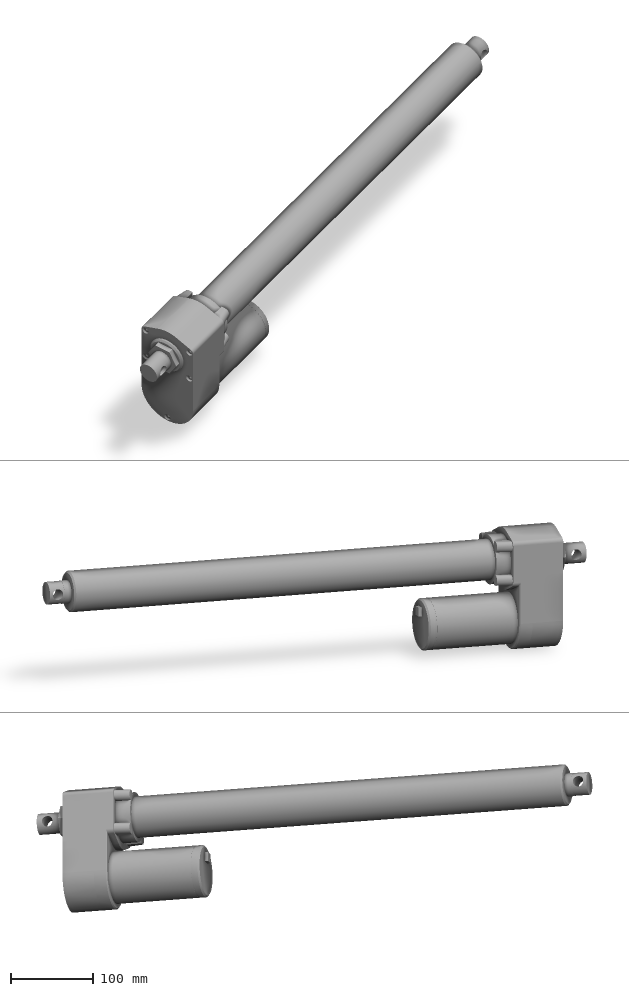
import cadquery as cq
import math

LENGTH = 693.5

pin_diameter = 26.0
pin_length = 39.5
pin_hole_y = 13.0
clevis_hole_diameter = 13.0
nut_corner_diameter = 41.5
nut_length = 6.0
flange_diameter = 48.5
flange_length = 4.0
flange_chamfer = 2.0

case_rear_y = pin_length
case_width = 77.0
case_height = 152.0
case_seam = 39.5
full_case_depth = 56.0
full_case_chamfer = 1.5
short_case_depth = 64.5
crown_radius = 39.0
crown_half_width = 14.0
shoulder_radius = 5.5
motor_drop = case_height - crown_radius - case_width / 2

screw_x = 32.5
screw_z = 22.0
bottom_screw_z = -107.5
screw_recess_diameter = 9.0
screw_recess_depth = 3.0
socket_diameter = 3.5
socket_depth = 2.0

collar_diameter = 61.0
collar_length = 19.0
rib_inner_x = 21.5
rib_base_x = 37.0
rib_front_x = 32.5
rib_z = 21.0
rib_height = 13.0
rib_fillet = 6.0

tube_diameter = 50.5
tube_chamfer = 2.0
rod_exposed = 28.0
rod_diameter = 28.5
tip_diameter = 28.0
tip_length = 19.0
tip_hole_from_end = 10.5

motor_diameter = 64.0
motor_groove_diameter = 63.0
motor_length = 114.5
motor_cap_length = 8.0
motor_groove_width = 2.0
motor_chamfer = 2.0
terminal_rise = 16.5
terminal_size = 11.0
terminal_length = 4.0

case_front_y = case_rear_y + short_case_depth
full_front_y = case_rear_y + full_case_depth
seam_y = case_rear_y + case_seam
collar_front_y = case_front_y + collar_length
tube_front_y = LENGTH - rod_exposed
motor_front_y = full_front_y + motor_length


def section_plane(y):
    """Plane across the actuator at y, with local X along -X, local Y along Z, normal along +Y."""
    return cq.Workplane(cq.Plane(origin=(0, y, 0), xDir=(-1, 0, 0), normal=(0, 1, 0)))


def cylinder(diameter, y_start, y_end, x=0.0, z=0.0):
    """Cylinder parallel to Y."""
    return section_plane(y_start).center(-x, z).circle(diameter / 2).extrude(y_end - y_start)


def cross_hole(y):
    """Clevis hole through the screw axis, parallel to X."""
    return cq.Workplane("YZ").center(y, 0).circle(clevis_hole_diameter / 2).extrude(case_width, both=True)


half_width = case_width / 2
crown_angle = math.asin(crown_half_width / crown_radius)
crown_edge_z = crown_radius * math.cos(crown_angle)
shoulder_z = crown_edge_z - (half_width - crown_half_width) * math.tan(crown_angle)


def full_case(y_start, y_end):
    """Full-height gearbox length with the crown on top and a half round about the motor axis below."""
    body = (
        section_plane(y_start)
        .moveTo(-half_width, -motor_drop)
        .lineTo(-half_width, shoulder_z)
        .lineTo(-crown_half_width, crown_edge_z)
        .threePointArc((0, crown_radius), (crown_half_width, crown_edge_z))
        .lineTo(half_width, shoulder_z)
        .lineTo(half_width, -motor_drop)
        .threePointArc((0, -motor_drop - half_width), (-half_width, -motor_drop))
        .close()
        .extrude(y_end - y_start)
    )
    shoulder_corners = body.edges("|Y").edges("<X or >X").edges(">Z")
    return shoulder_corners.fillet(shoulder_radius)


def short_case(y_start, y_end):
    """Short gearbox length around the tube, with the crown both above and below."""
    return (
        section_plane(y_start)
        .moveTo(-half_width, -shoulder_z)
        .lineTo(-half_width, shoulder_z)
        .lineTo(-crown_half_width, crown_edge_z)
        .threePointArc((0, crown_radius), (crown_half_width, crown_edge_z))
        .lineTo(half_width, shoulder_z)
        .lineTo(half_width, -shoulder_z)
        .lineTo(crown_half_width, -crown_edge_z)
        .threePointArc((0, -crown_radius), (-crown_half_width, -crown_edge_z))
        .close()
        .extrude(y_end - y_start)
        .edges("|Y")
        .edges("<X or >X")
        .fillet(shoulder_radius)
    )


def collar_rib(x_side, z_side):
    """Rib beside the tube whose rounded outer side slopes in towards the front."""
    return (
        cq.Workplane("XY", origin=(0, 0, z_side * rib_z))
        .moveTo(x_side * rib_inner_x, case_front_y)
        .lineTo(x_side * rib_base_x, case_front_y)
        .lineTo(x_side * rib_front_x, collar_front_y)
        .lineTo(x_side * rib_inner_x, collar_front_y)
        .close()
        .extrude(rib_height / 2, both=True)
        .faces(">X" if x_side > 0 else "<X")
        .edges("not |Z")
        .fillet(rib_fillet)
    )


def make_collar():
    """Round collar at the root of the tube with its four ribs."""
    collar = cylinder(collar_diameter, case_front_y, collar_front_y)
    for x_side in (-1, 1):
        for z_side in (-1, 1):
            collar = collar.union(collar_rib(x_side, z_side))
    return collar


def screw_recess(x, z):
    """Shallow round recess in the rear face with a small socket at its centre."""
    floor_y = case_rear_y + screw_recess_depth
    recess = cylinder(screw_recess_diameter, case_rear_y, floor_y, x, z)
    return recess.union(cylinder(socket_diameter, floor_y, floor_y + socket_depth, x, z))


def make_rear_mount():
    """Clevis pin, hexagon nut and round flange behind the gearbox."""
    flange_y = case_rear_y - flange_length
    nut_y = flange_y - nut_length
    nut = section_plane(nut_y).polygon(6, nut_corner_diameter).extrude(nut_length)
    pin = cylinder(pin_diameter, 0, case_rear_y).cut(cross_hole(pin_hole_y))
    flange = cylinder(flange_diameter, flange_y, case_rear_y).faces("<Y").chamfer(flange_chamfer)
    return pin.union(nut).union(flange)


def make_motor():
    """Motor can with a shallow groove, a chamfered front end and a square terminal block."""
    cap_y = motor_front_y - motor_cap_length
    groove_y = cap_y - motor_groove_width
    can = cylinder(motor_diameter, full_front_y, groove_y, z=-motor_drop)
    groove = cylinder(motor_groove_diameter, groove_y, cap_y, z=-motor_drop)
    cap = cylinder(motor_diameter, cap_y, motor_front_y, z=-motor_drop).faces(">Y").chamfer(motor_chamfer)
    terminal = (
        section_plane(motor_front_y)
        .center(0, terminal_rise - motor_drop)
        .rect(terminal_size, terminal_size)
        .extrude(terminal_length)
    )
    return can.union(groove).union(cap).union(terminal)


def make_actuator():
    """Gearbox, motor, tube and rear mount as one body."""
    front_case = full_case(seam_y, full_front_y).faces(">Y").chamfer(full_case_chamfer)
    front_case = front_case.union(short_case(seam_y, case_front_y))
    body = full_case(case_rear_y, seam_y).union(front_case, clean=False)
    for x_side in (-1, 1):
        for z_side in (-1, 1):
            body = body.cut(screw_recess(x_side * screw_x, z_side * screw_z), clean=False)
    body = body.cut(screw_recess(0, bottom_screw_z), clean=False)
    tube = cylinder(tube_diameter, collar_front_y, tube_front_y).faces(">Y").chamfer(tube_chamfer)
    for section in (make_collar(), tube, make_motor(), make_rear_mount()):
        body = body.union(section, clean=False)
    return body


def make_rod():
    """Exposed rod end with a narrower tip and a clevis hole."""
    tip_y = LENGTH - tip_length
    rod = cylinder(rod_diameter, tube_front_y, tip_y).union(cylinder(tip_diameter, tip_y, LENGTH))
    return rod.cut(cross_hole(LENGTH - tip_hole_from_end))


actuator = make_actuator()
rod = make_rod()
result = cq.Compound.makeCompound([actuator.val(), rod.val()])